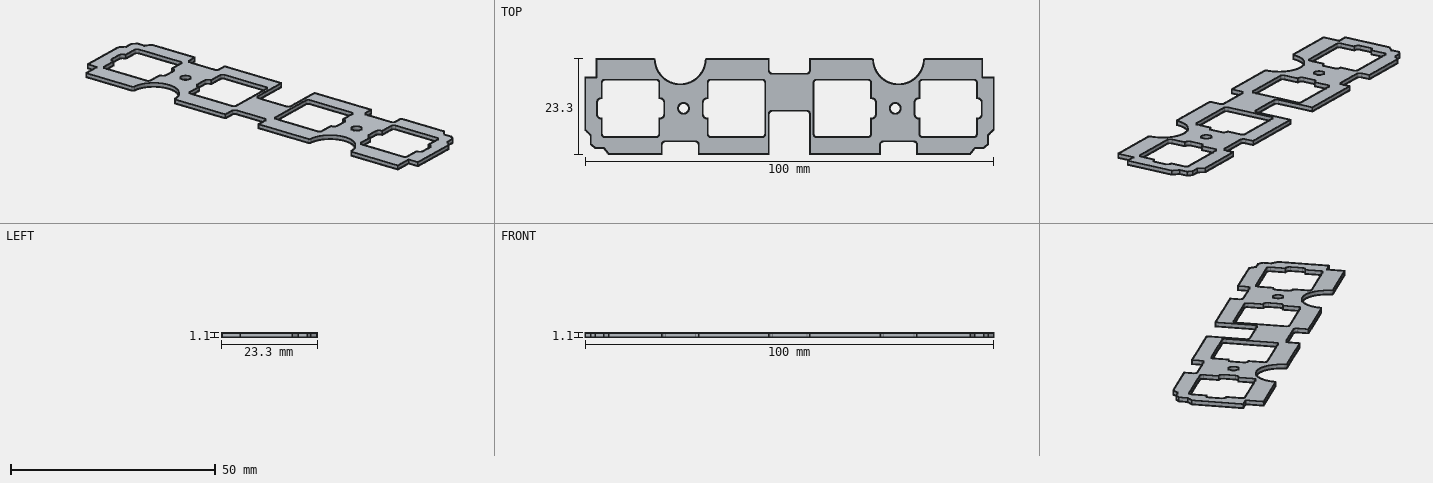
import cadquery as cq

length = 100.0
width = 23.3
thickness = 1.1
top_edge = 12.1
bottom_edge = top_edge - width
half_length = length / 2

window_pitch = 25.9
window_size = 14.0
window_corner = 0.7
lobe_depth = 1.2
lobe_height = 4.9
lobe_corner = 1.0
inner_window_x = window_pitch / 2
outer_window_x = inner_window_x + window_pitch

hole_diameter = 2.6
hole_x = (inner_window_x + outer_window_x) / 2

bridge_half_length = 5.0
bridge_top = 8.5
bridge_bottom = -0.6
inner_corner = 0.8

recess_center = 26.7
scoop_radius = 6.2
scoop_lip_radius = 0.4
notch_width = 9.0
notch_floor = -8.1

end_step_x = 47.2
end_step_y = 7.6
bevel_points = [
    (half_length, -5.2),
    (48.6, -6.6),
    (48.6, -8.8),
    (47.5, -9.7),
    (45.4, -9.7),
    (44.2, bottom_edge),
]


def prism(sketch):
    """Extrude a closed outline through the plate thickness."""
    return sketch.extrude(thickness)


def box(x_min, x_max, y_min, y_max):
    """Full-thickness block between the given limits."""
    outline = cq.Workplane("XY").center((x_min + x_max) / 2, (y_min + y_max) / 2)
    return prism(outline.rect(x_max - x_min, y_max - y_min))


def make_half_blank():
    """Right half of the plate outside the bridge, without recesses."""
    outline = [
        (bridge_half_length, bottom_edge),
        (bridge_half_length, top_edge),
        (end_step_x, top_edge),
        (end_step_x, end_step_y),
        (half_length, end_step_y),
    ] + bevel_points
    return prism(cq.Workplane("XY").polyline(outline).close())


def make_scoop():
    """Semicircular recess centred on the top edge."""
    return prism(cq.Workplane("XY").center(recess_center, top_edge).circle(scoop_radius))


def make_notch():
    """Bottom edge recess with rounded inner corners."""
    notch = box(
        recess_center - notch_width / 2,
        recess_center + notch_width / 2,
        bottom_edge,
        notch_floor,
    )
    return notch.edges("|Z and >Y").fillet(inner_corner)


def make_lobe(side_x, direction):
    """Rounded side lobe reaching out of a window side, overlapping the window."""
    tip_x = side_x + direction * lobe_depth
    inner_x = side_x - direction * lobe_depth
    lobe = box(min(tip_x, inner_x), max(tip_x, inner_x), -lobe_height / 2, lobe_height / 2)
    tip_edges = "|Z and >X" if direction > 0 else "|Z and <X"
    return lobe.edges(tip_edges).fillet(lobe_corner)


def make_window(center_x, lobe_directions):
    """Rounded square window with a lobe on each listed side."""
    half = window_size / 2
    window = box(center_x - half, center_x + half, -half, half)
    window = window.edges("|Z").fillet(window_corner)
    for direction in lobe_directions:
        window = window.union(make_lobe(center_x + direction * half, direction))
    return window


def make_hole():
    """Round screw hole."""
    return prism(cq.Workplane("XY").center(hole_x, 0).circle(hole_diameter / 2))


def make_half():
    """Right half of the plate, from the bridge to the outer end."""
    half = make_half_blank().cut(make_scoop())
    for lip_x in (recess_center - scoop_radius, recess_center + scoop_radius):
        lip = cq.selectors.NearestToPointSelector((lip_x, top_edge, thickness / 2))
        half = half.edges(lip).fillet(scoop_lip_radius)
    half = half.cut(make_notch())
    half = half.cut(make_window(inner_window_x, [1]))
    half = half.cut(make_window(outer_window_x, [-1, 1]))
    return half.cut(make_hole())


def join_halves(half):
    """Mirror the half, add the bridge and round its inner corners."""
    bridge = box(-bridge_half_length, bridge_half_length, bridge_bottom, bridge_top)
    plate = half.union(half.mirror("YZ")).union(bridge)
    for x in (-bridge_half_length, bridge_half_length):
        for y in (bridge_bottom, bridge_top):
            corner = cq.selectors.NearestToPointSelector((x, y, thickness / 2))
            plate = plate.edges(corner).fillet(inner_corner)
    return plate


result = join_halves(make_half())